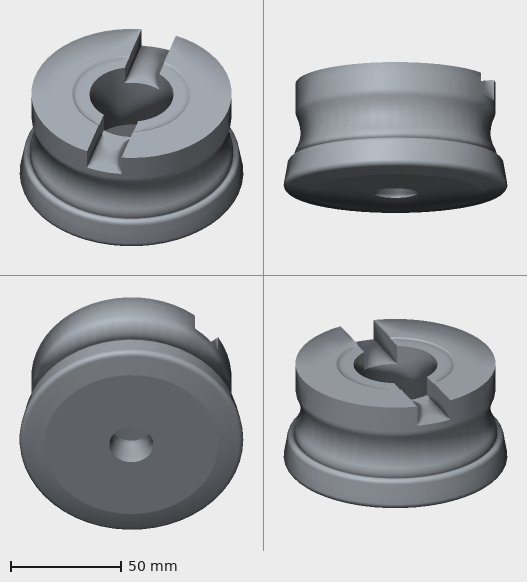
import cadquery as cq
import math

height = 50.8
outer_radius = 50.8

head_radius = 90.9 / 2
shoulder_radius = 92.3 / 2
bore_radius = 38.1 / 2
hole_radius = 20.0 / 2
bore_floor_z = 16.2
slot_width = 16.2
slot_depth = 9.7
recess_radius = 26.9
recess_floor_radius = 25.9
recess_depth = 0.6

head_bottom_z = 38.3
waist_top_z = 35.3
waist_bottom_z = 19.6
shoulder_top_z = 16.2
waist_top_radius = 44.8
waist_radius = 43.2
waist_bottom_radius = 45.4

rim_top_z = 15.5
joint_radius = 44.4
rim_slope = math.radians(10)
rim_round = 2.3
lower_round_z = 4.0
lower_round_centre = (outer_radius - rim_round, lower_round_z)


def polar(centre, radius, angle):
    """Point on a circle in the radius-height plane."""
    return (centre[0] + radius * math.cos(angle), centre[1] + radius * math.sin(angle))


wall_bottom = polar(lower_round_centre, rim_round, rim_slope)
underside_outer = polar(lower_round_centre, rim_round, rim_slope - math.pi / 2)

joint_bottom_z = underside_outer[1] - (underside_outer[0] - joint_radius) * math.tan(rim_slope)
foot_radius = joint_radius - joint_bottom_z / math.tan(rim_slope)

upper_round_z = rim_top_z - rim_round
upper_round_radius = lower_round_centre[0] - (upper_round_z - lower_round_z) * math.tan(rim_slope)
upper_round_centre = (upper_round_radius, upper_round_z)
wall_top = polar(upper_round_centre, rim_round, rim_slope)
seat_angle = math.acos((shoulder_radius - upper_round_radius) / rim_round)
seat_z = polar(upper_round_centre, rim_round, seat_angle)[1]
upper_round_middle = polar(upper_round_centre, rim_round, (rim_slope + seat_angle) / 2)


def revolve_profile(profile):
    return profile.close().revolve(360, (0, 0, 0), (0, 1, 0))


def rounding_middle(start, end, start_angle):
    """Middle of an arc that begins with the given outward normal angle."""
    chord = math.dist(start, end)
    chord_angle = math.atan2(end[1] - start[1], end[0] - start[0])
    bend = chord_angle - (start_angle - math.pi / 2)
    sagitta = chord / 2 * math.tan(bend / 2)
    middle = ((start[0] + end[0]) / 2, (start[1] + end[1]) / 2)
    return polar(middle, sagitta, chord_angle - math.pi / 2)


def make_core():
    head_bottom = (head_radius, head_bottom_z)
    waist_top = (waist_top_radius, waist_top_z)
    waist_middle = (waist_radius, (waist_top_z + waist_bottom_z) / 2)
    waist_bottom = (waist_bottom_radius, waist_bottom_z)
    shoulder_top = (shoulder_radius, shoulder_top_z)
    mirrored_middle = rounding_middle(
        (shoulder_radius, -shoulder_top_z), (waist_bottom_radius, -waist_bottom_z), 0
    )
    profile = (
        cq.Workplane("XZ")
        .moveTo(hole_radius, 0)
        .lineTo(foot_radius, 0)
        .lineTo(joint_radius, joint_bottom_z)
        .lineTo(joint_radius, seat_z)
        .lineTo(shoulder_radius, seat_z)
        .lineTo(*shoulder_top)
        .threePointArc((mirrored_middle[0], -mirrored_middle[1]), waist_bottom)
        .threePointArc(waist_middle, waist_top)
        .threePointArc(rounding_middle(head_bottom, waist_top, 0), head_bottom)
        .lineTo(head_radius, height)
        .lineTo(recess_radius, height)
        .lineTo(recess_floor_radius, height - recess_depth)
        .lineTo(bore_radius, height - recess_depth)
        .lineTo(bore_radius, bore_floor_z)
        .lineTo(hole_radius, bore_floor_z)
    )
    slot = (
        cq.Workplane("XY")
        .workplane(offset=height - slot_depth)
        .rect(slot_width, 2 * outer_radius)
        .extrude(slot_depth)
    )
    return revolve_profile(profile).cut(slot)


def make_rim():
    profile = (
        cq.Workplane("XZ")
        .moveTo(joint_radius, joint_bottom_z)
        .lineTo(*underside_outer)
        .threePointArc(polar(lower_round_centre, rim_round, rim_slope - math.pi / 4), wall_bottom)
        .lineTo(*wall_top)
        .threePointArc(upper_round_middle, (shoulder_radius, seat_z))
        .lineTo(joint_radius, seat_z)
    )
    return revolve_profile(profile)


core = make_core()
rim = make_rim()

result = cq.Compound.makeCompound([core.val(), rim.val()])